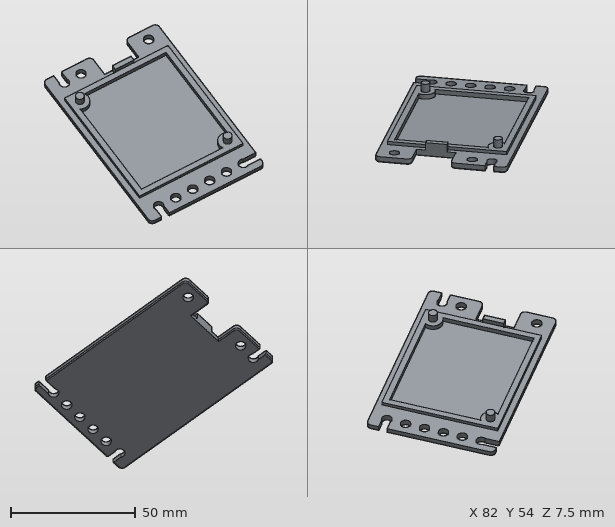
import cadquery as cq

plate_length = 82.0
plate_width = 54.0
plate_thickness = 2.55
corner_radius = 2.0
bottom_chamfer = 0.5

hole_diameter = 4.2
hole_rows = 6
hole_row_span = 40.0
hole_pitch = hole_row_span / (hole_rows - 1)
hole_column_x = 36.0
hole_row_y = [row * hole_pitch - hole_row_span / 2 for row in range(hole_rows)]
slot_width = 3.6
side_slot_extension = 0.25

notch_depth = 10.25
notch_width = 16.15
notch_y = hole_row_y[3]
notch_back_x = notch_depth - plate_length / 2
stop_width = 8.85
stop_top = 5.8

rim_length = 57.0
rim_width = 49.0
rim_top = 3.9
pocket_length = 52.0
pocket_width = 44.0
pocket_depth = 2.0
pocket_floor = rim_top - pocket_depth

pin_diameter = 3.5
pin_top = 7.5
pin_x = 24.0
pin_y = hole_row_y[-1]
pin_points = [(pin_x, pin_y), (-pin_x, -pin_y)]
boss_diameter = 8.0


def block(x_range, y_range, z_range):
    """Axis-aligned box given by its lower and upper limits."""
    sizes = [high - low for low, high in (x_range, y_range, z_range)]
    corner = (x_range[0], y_range[0], z_range[0])
    return cq.Workplane("XY").box(*sizes, centered=False).translate(corner)


def centered_block(length, width, bottom, top):
    return block((-length / 2, length / 2), (-width / 2, width / 2), (bottom, top))


def cylinders(points, diameter, bottom, top):
    plane = cq.Workplane("XY").workplane(offset=bottom)
    return plane.pushPoints(points).circle(diameter / 2).extrude(top - bottom)


def make_plate():
    """Rounded plate with its notch; the rear wall of the notch stays unchamfered."""
    notch = block(
        (-plate_length / 2, notch_back_x),
        (notch_y - notch_width / 2, notch_y + notch_width / 2),
        (0, plate_thickness),
    )
    plate = centered_block(plate_length, plate_width, 0, plate_thickness).cut(notch)
    plate = plate.edges("|Z and (<X or >X)").fillet(corner_radius)
    notch_back = cq.selectors.NearestToPointSelector((notch_back_x, notch_y, 0))
    outline = plate.faces("<Z").edges()
    rear_edge = outline.edges(notch_back).val()
    chamfered_edges = [edge for edge in outline.vals() if not edge.isSame(rear_edge)]
    return plate.newObject(chamfered_edges).chamfer(bottom_chamfer)


def cut_mounting_features(plate):
    """Round holes, plus three outer grid positions opened to the nearest edge."""
    right_holes = [(hole_column_x, y) for y in hole_row_y[1:]]
    left_holes = [(-hole_column_x, y) for y in (hole_row_y[1], hole_row_y[-1])]
    plate = plate.cut(cylinders(right_holes + left_holes, hole_diameter, 0, plate_thickness))

    top_slot = block(
        (hole_column_x - slot_width / 2, hole_column_x + slot_width / 2),
        (hole_row_y[-1], plate_width / 2),
        (0, plate_thickness),
    )
    plate = plate.cut(top_slot)

    side_y = hole_row_y[0]
    slot_y_range = (side_y - slot_width / 2, side_y + slot_width / 2)
    inner_x = hole_column_x - side_slot_extension
    for x_range in ((inner_x, plate_length / 2), (-plate_length / 2, -inner_x)):
        plate = plate.cut(block(x_range, slot_y_range, (0, plate_thickness)))
    slot_ends = [(-inner_x, side_y), (inner_x, side_y)]
    return plate.cut(cylinders(slot_ends, hole_diameter, 0, plate_thickness))


def add_rim_and_pocket(body):
    rim = centered_block(rim_length, rim_width, plate_thickness, rim_top)
    pocket = centered_block(pocket_length, pocket_width, pocket_floor, rim_top)
    bosses = cylinders(pin_points, boss_diameter, pocket_floor, rim_top)
    return body.union(rim).cut(pocket.cut(bosses))


def add_pins(body):
    return body.union(cylinders(pin_points, pin_diameter, pocket_floor, pin_top))


def add_stop(body):
    stop = block(
        (notch_back_x, -rim_length / 2),
        (notch_y - stop_width / 2, notch_y + stop_width / 2),
        (plate_thickness, stop_top),
    )
    return body.union(stop)


plate = cut_mounting_features(make_plate())
result = add_stop(add_pins(add_rim_and_pocket(plate)))